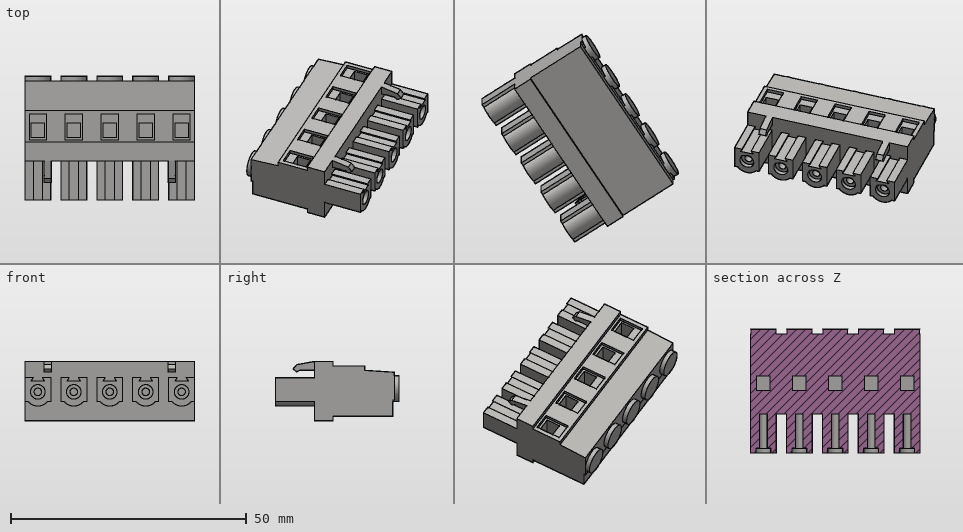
import cadquery as cq


length = 35.98
pole_count = 5
pole_width = 5.5
pole_pitch = (length - pole_width) / (pole_count - 1)
pole_centers = [(i - (pole_count - 1) / 2) * pole_pitch for i in range(pole_count)]

flange_thickness = 4.0
flange_height = 12.6
flange_lip = 0.95
body_top_z = flange_height - flange_lip
window_band_end = 10.72
slope_start_z = 10.72
slope_end_z = 10.33
rear_y = 17.0
rear_step = 0.35
rear_step_z = 4.4

screw_radius = pole_width / 2
screw_z = 6.85
screw_end_y = 18.0

rim_width = 3.65
rim_y_min = 4.5
rim_y_max = 9.93
rim_depth = 0.72
shaft_width = 2.8
shaft_y_min = 5.05
shaft_y_max = 8.05

plug_length = 8.28
plug_top_z = 9.15
plug_bottom_z = 4.1
belly_half_width = 2.05
belly_drop = 0.97
groove_top_half_width = 0.97
groove_floor_half_width = 1.4
groove_depth = 0.7
socket_z = 6.15
socket_radius = 1.55
socket_depth = 1.0
pin_hole_radius = 0.8

latch_width = 1.5
latch_inset = 4.85
latch_bottom_z = 10.72
latch_shoulder_y = -3.7
latch_shoulder_z = 11.95
latch_tip_y = -4.55
latch_tip_z = 11.0
barb_z = 10.33
barb_start_y = -3.05


def extrude_along_x(points, center_x, width):
    """Extrude a (y, z) outline symmetrically about center_x."""
    outline = cq.Workplane("YZ", origin=(center_x, 0, 0)).polyline(points).close()
    return outline.extrude(width / 2, both=True)


def box_between(center_x, width, y_min, y_max, z_min, z_max):
    """Box centred on center_x and spanning the given Y and Z limits."""
    corner = (center_x - width / 2, y_min, z_min)
    return cq.Workplane("XY", origin=corner).box(
        width, y_max - y_min, z_max - z_min, centered=False
    )


def cylinder_along_y(center_x, center_z, radius, y_min, y_max):
    """Cylinder parallel to Y between y_min and y_max."""
    plane = cq.Workplane("XZ", origin=(center_x, y_min, center_z))
    return plane.circle(radius).extrude(y_min - y_max)



def make_housing():
    """Housing body with its front flange, sloped rear top and rear step."""
    outline = [
        (0, 0),
        (flange_thickness, 0),
        (flange_thickness, flange_lip),
        (rear_y - rear_step, flange_lip),
        (rear_y - rear_step, rear_step_z),
        (rear_y, rear_step_z),
        (rear_y, slope_end_z),
        (window_band_end, slope_start_z),
        (window_band_end, body_top_z),
        (flange_thickness, body_top_z),
        (flange_thickness, flange_height),
        (0, flange_height),
    ]
    return extrude_along_x(outline, 0, length)


def make_plug(center_x):
    """Plug with a rounded belly and a dovetail groove along its top."""
    half_width = pole_width / 2
    groove_floor_z = plug_top_z - groove_depth
    outline = (
        cq.Workplane("XZ", origin=(center_x, 0, 0))
        .moveTo(-half_width, plug_top_z)
        .lineTo(-half_width, plug_bottom_z)
        .lineTo(-belly_half_width, plug_bottom_z)
        .threePointArc((0, plug_bottom_z - belly_drop), (belly_half_width, plug_bottom_z))
        .lineTo(half_width, plug_bottom_z)
        .lineTo(half_width, plug_top_z)
        .lineTo(groove_top_half_width, plug_top_z)
        .lineTo(groove_floor_half_width, groove_floor_z)
        .lineTo(-groove_floor_half_width, groove_floor_z)
        .lineTo(-groove_top_half_width, plug_top_z)
        .close()
    )
    plug = outline.extrude(plug_length)
    tip_y = -plug_length
    socket = cylinder_along_y(center_x, socket_z, socket_radius, tip_y, tip_y + socket_depth)
    pin_hole = cylinder_along_y(center_x, socket_z, pin_hole_radius, tip_y, 0)
    return plug.cut(socket).cut(pin_hole)


def make_screw_head(center_x):
    """Round head rooted in the body and standing proud of the rear face."""
    return cylinder_along_y(center_x, screw_z, screw_radius, rear_y - rear_step, screw_end_y)


def make_window(center_x):
    """Volume removed for one wire entry; the shaft ends level with the contact axis."""
    rim = box_between(center_x, rim_width, rim_y_min, rim_y_max, body_top_z - rim_depth, body_top_z)
    shaft = box_between(center_x, shaft_width, shaft_y_min, shaft_y_max, socket_z, body_top_z)
    return rim.union(shaft)


def make_latch(center_x):
    """Hooked arm reaching forward from the top of the flange."""
    outline = [
        (0, flange_height),
        (latch_shoulder_y, latch_shoulder_z),
        (latch_tip_y, latch_tip_z),
        (latch_shoulder_y, barb_z),
        (barb_start_y, latch_bottom_z),
        (0, latch_bottom_z),
    ]
    return extrude_along_x(outline, center_x, latch_width)


result = make_housing()
for pole_x in pole_centers:
    result = result.union(make_plug(pole_x))
    result = result.union(make_screw_head(pole_x))
    result = result.cut(make_window(pole_x))

latch_x = length / 2 - latch_inset
for side in (-1, 1):
    result = result.union(make_latch(side * latch_x))